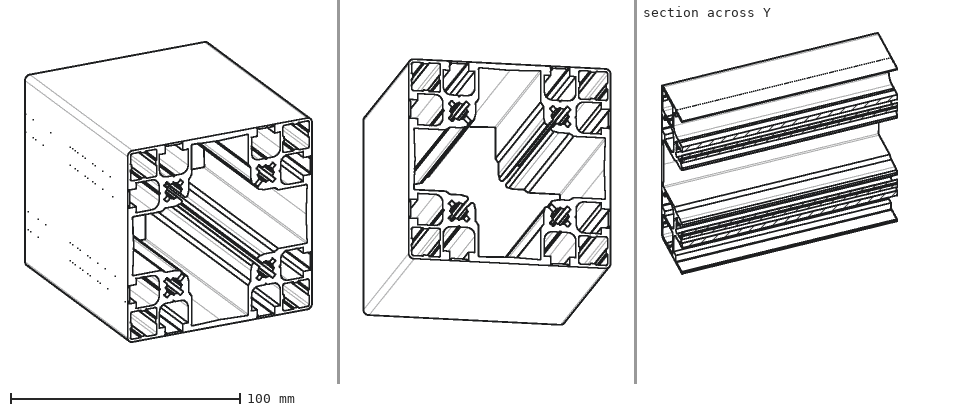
import cadquery as cq
import math

length = 100.0
side = 90.0
half_side = side / 2
edge_radius = 2.4
cell_centre = side / 4

slot_width = 8.5
lip_depth = 4.2
chamber_width = 14.0
chamber_depth = 15.3
chamber_radius = 3.6
cover_thickness = 1.0
cover_edge_thickness = 0.5
cover_notch_width = 1.0
centring_notch_depth = 0.5
centring_notch_half_width = 0.6

pocket_centre = 37.2
pocket_width = 12.8
pocket_corner_radius = 0.9
rib_base_half_width = 1.5
rib_top_half_width = 1.0
rib_height = 0.5

bore_radius = 3.6
relief_width = 2.0
relief_reach = 5.6
channel_notch_reach = 4.0

wall_edge_thickness = 2.4
wall_middle_thickness = 2.9
wall_corner_radius = 0.5
slot_wall_face = 13.8
slot_wall_end = 28.5
arm_root = (15.1, 26.5)
arm_bend = (15.1, 21.7)
arm_shoulder = (15.6, 19.8)
arm_tip = (16.1, 18.7)
arm_end = (17.4, 18.7)


def prism(section):
    """Extrude a section over the full length."""
    return section.extrude(length)


def section_plane():
    """Sketch plane at one end, whose local axes are Y and Z and whose normal is +X."""
    return cq.Workplane("YZ").workplane(offset=-length / 2)


def slot_void():
    """T-slot open towards +Z behind a thin cover that is notched along both edges."""
    cover_face = half_side - cover_thickness
    notch_face = half_side - cover_edge_thickness
    lip_face = half_side - lip_depth
    floor = half_side - chamber_depth
    half_slot = slot_width / 2
    half_chamber = chamber_width / 2
    arc_middle = chamber_radius * (1 - math.sqrt(0.5))
    c = cell_centre
    return prism(
        section_plane()
        .moveTo(c - half_slot + cover_notch_width, cover_face)
        .lineTo(c + half_slot - cover_notch_width, cover_face)
        .lineTo(c + half_slot, notch_face)
        .lineTo(c + half_slot, lip_face)
        .lineTo(c + half_chamber, lip_face)
        .lineTo(c + half_chamber, floor + chamber_radius)
        .threePointArc(
            (c + half_chamber - arc_middle, floor + arc_middle),
            (c + half_chamber - chamber_radius, floor),
        )
        .lineTo(c + centring_notch_half_width, floor)
        .lineTo(c, floor - centring_notch_depth)
        .lineTo(c - centring_notch_half_width, floor)
        .lineTo(c - half_chamber + chamber_radius, floor)
        .threePointArc(
            (c - half_chamber + arc_middle, floor + arc_middle),
            (c - half_chamber, floor + chamber_radius),
        )
        .lineTo(c - half_chamber, lip_face)
        .lineTo(c - half_slot, lip_face)
        .lineTo(c - half_slot, notch_face)
        .close()
    )


def pocket_void():
    """Square pocket with a low bevelled rib along the middle of each wall."""
    half = pocket_width / 2
    square = section_plane().center(pocket_centre, pocket_centre).rect(pocket_width, pocket_width)
    void = prism(square).edges("|X").fillet(pocket_corner_radius)
    for angle in range(0, 360, 90):
        rib = (
            section_plane()
            .center(pocket_centre, pocket_centre)
            .transformed(rotate=(0, 0, angle))
            .moveTo(half, -rib_base_half_width)
            .lineTo(half - rib_height, -rib_top_half_width)
            .lineTo(half - rib_height, rib_top_half_width)
            .lineTo(half, rib_base_half_width)
            .close()
        )
        void = void.cut(prism(rib))
    return void


def channel_void():
    """Screw bore with diagonal reliefs, four small notches and a mouth towards the centre."""
    plane = section_plane().center(cell_centre, cell_centre).transformed(rotate=(0, 0, 45))
    notch_square = channel_notch_reach * math.sqrt(2)
    mouth = prism(plane.moveTo(-relief_reach, 0).rect(2 * relief_reach, relief_width))
    return (
        prism(plane.circle(bore_radius))
        .union(prism(plane.rect(notch_square, notch_square)))
        .union(prism(plane.rect(2 * relief_reach, relief_width)))
        .union(prism(plane.rect(relief_width, 2 * relief_reach)))
        .union(mouth)
    )


def quarter_void():
    """One quarter of the central void: walls thickening to the middle, and two round-tipped arms."""
    edge_face = half_side - wall_edge_thickness
    middle_face = half_side - wall_middle_thickness
    void = prism(
        section_plane()
        .moveTo(0, 0)
        .lineTo(0, middle_face)
        .lineTo(slot_wall_face, edge_face)
        .lineTo(slot_wall_face, slot_wall_end)
        .lineTo(*arm_root)
        .lineTo(*arm_bend)
        .lineTo(*arm_shoulder)
        .threePointArc(arm_tip, arm_end)
        .lineTo(*arm_end[::-1])
        .threePointArc(arm_tip[::-1], arm_shoulder[::-1])
        .lineTo(*arm_bend[::-1])
        .lineTo(*arm_root[::-1])
        .lineTo(slot_wall_end, slot_wall_face)
        .lineTo(edge_face, slot_wall_face)
        .lineTo(middle_face, 0)
        .close()
    )
    for corner in ((slot_wall_face, edge_face), (edge_face, slot_wall_face)):
        void = void.edges(cq.selectors.NearestToPointSelector((0, *corner))).fillet(wall_corner_radius)
    return void


def quarter_turned(solid, turns):
    """Turn a solid about the X axis by a number of quarter turns."""
    return solid.rotate((0, 0, 0), (1, 0, 0), 90 * turns)


z_slot = slot_void()
y_slot = quarter_turned(z_slot.mirror("XY"), 1)
corner_voids = (z_slot, y_slot, pocket_void(), channel_void(), quarter_void())

body = prism(section_plane().rect(side, side)).edges("|X").fillet(edge_radius)
for turns in range(4):
    for void in corner_voids:
        body = body.cut(quarter_turned(void, turns))

result = body